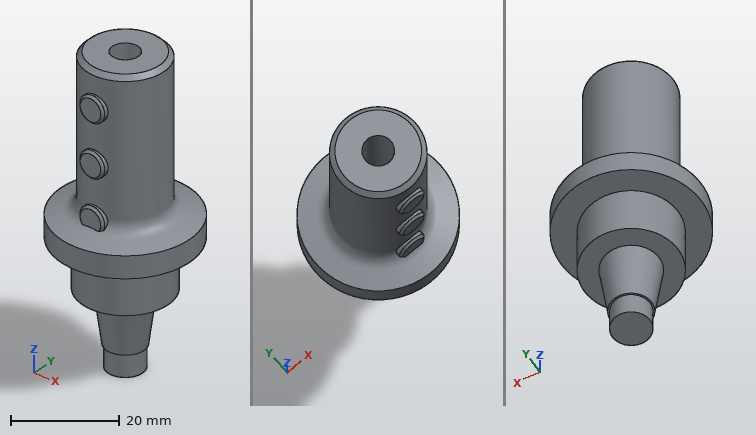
import cadquery as cq
import math

total_height = 68.0
taper_bottom = 5.0
boss_bottom = 17.0
flange_bottom = 28.0
flange_rim_top = 33.0

tip_diameter = 8.0
taper_small_diameter = 8.7
taper_large_diameter = 12.0
boss_diameter = 20.0
flange_diameter = 30.0
shaft_diameter = 18.0
bore_diameter = 6.0

shaft_chamfer = 1.0
shoulder_angle = math.radians(15)
shoulder_fillet = 3.0

bore_depth = total_height - flange_rim_top

screw_count = 3
screw_diameter = 6.0
screw_chamfer = 0.51
screw_pitch = 12.0
top_screw_height = 60.0
screw_face_offset = 10.0
screw_length = 3.0


def make_body():
    """Revolve the stepped half-profile about Z."""
    shaft_radius = shaft_diameter / 2
    flange_radius = flange_diameter / 2
    shoulder_rise = (flange_radius - shaft_radius) * math.tan(shoulder_angle)
    shoulder_top = flange_rim_top + shoulder_rise

    fillet_center_radius = shaft_radius + shoulder_fillet
    fillet_center_height = (
        shoulder_top
        - shoulder_fillet * math.tan(shoulder_angle)
        + shoulder_fillet / math.cos(shoulder_angle)
    )

    def fillet_point(angle):
        return (
            fillet_center_radius - shoulder_fillet * math.cos(angle),
            fillet_center_height - shoulder_fillet * math.sin(angle),
        )

    fillet_sweep = math.pi / 2 - shoulder_angle
    return (
        cq.Workplane("XZ")
        .moveTo(0, 0)
        .lineTo(tip_diameter / 2, 0)
        .lineTo(tip_diameter / 2, taper_bottom)
        .lineTo(taper_small_diameter / 2, taper_bottom)
        .lineTo(taper_large_diameter / 2, boss_bottom)
        .lineTo(boss_diameter / 2, boss_bottom)
        .lineTo(boss_diameter / 2, flange_bottom)
        .lineTo(flange_radius, flange_bottom)
        .lineTo(flange_radius, flange_rim_top)
        .lineTo(*fillet_point(fillet_sweep))
        .threePointArc(fillet_point(fillet_sweep / 2), fillet_point(0))
        .lineTo(shaft_radius, total_height - shaft_chamfer)
        .lineTo(shaft_radius - shaft_chamfer, total_height)
        .lineTo(0, total_height)
        .close()
        .revolve(360, (0, 0, 0), (0, 1, 0))
    )


def make_screw(height):
    """Chamfered screw end standing out of the shaft toward -Y."""
    return (
        cq.Workplane("XZ", origin=(0, -screw_face_offset, height))
        .circle(screw_diameter / 2)
        .extrude(-screw_length)
        .faces("<Y")
        .chamfer(screw_chamfer)
    )


result = make_body()
for index in range(screw_count):
    result = result.union(make_screw(top_screw_height - index * screw_pitch))

bore = (
    cq.Workplane("XY", origin=(0, 0, total_height))
    .circle(bore_diameter / 2)
    .extrude(-bore_depth)
)
result = result.cut(bore)